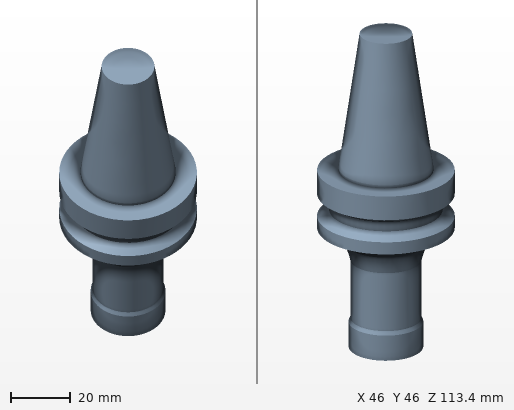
import cadquery as cq
import math


GAUGE_RADIUS = 31.75 / 2
TAPER_LENGTH = 48.4
TAPER_RATIO = 7 / 24
taper_end_radius = GAUGE_RADIUS - TAPER_LENGTH * TAPER_RATIO / 2

FLANGE_RADIUS = 46 / 2
FLANGE_TOP = -1.0
FLANGE_BOTTOM = -22.0
GROOVE_RADIUS = 38 / 2
GROOVE_CENTRE = -13.6
GROOVE_FLOOR_WIDTH = 3.4
GROOVE_WALL_ANGLE = math.radians(30)

OVERALL_LENGTH = 113.4
SHANK_RADIUS = 23.8 / 2
COLLAR_RADIUS = 25 / 2
COLLAR_LENGTH = 9.1
COLLAR_CHAMFER_LENGTH = 1.4
collar_bottom = TAPER_LENGTH - OVERALL_LENGTH
collar_top = collar_bottom + COLLAR_LENGTH

NECK_ARC_RADIUS = 30.0
NECK_ARC_BOTTOM = -33.5
NECK_CONE_BOTTOM = -26.9
NECK_CONE_BOTTOM_RADIUS = 14.15
NECK_CONE_ANGLE = math.radians(41.5)
NECK_ROOT_FILLET = 2.5


def make_taper():
    """Taper cone standing on the gauge plane."""
    return (
        cq.Workplane("XZ")
        .polyline([(0, 0), (GAUGE_RADIUS, 0), (taper_end_radius, TAPER_LENGTH), (0, TAPER_LENGTH)])
        .close()
        .revolve(360, (0, 0, 0), (0, 1, 0))
    )


def make_flange():
    """Grooved flange with the short cylinder that joins it to the taper."""
    wall_height = (FLANGE_RADIUS - GROOVE_RADIUS) * math.tan(GROOVE_WALL_ANGLE)
    floor_half = GROOVE_FLOOR_WIDTH / 2
    mouth_half = floor_half + wall_height
    outline = [
        (0, FLANGE_BOTTOM),
        (FLANGE_RADIUS, FLANGE_BOTTOM),
        (FLANGE_RADIUS, GROOVE_CENTRE - mouth_half),
        (GROOVE_RADIUS, GROOVE_CENTRE - floor_half),
        (GROOVE_RADIUS, GROOVE_CENTRE + floor_half),
        (FLANGE_RADIUS, GROOVE_CENTRE + mouth_half),
        (FLANGE_RADIUS, FLANGE_TOP),
        (GAUGE_RADIUS, FLANGE_TOP),
        (GAUGE_RADIUS, 0),
        (0, 0),
    ]
    return cq.Workplane("XZ").polyline(outline).close().revolve(360, (0, 0, 0), (0, 1, 0))


def make_shank():
    """End collar, shank and flared neck up to the underside of the flange."""
    root_centre_z = FLANGE_BOTTOM - NECK_ROOT_FILLET
    cone_end_z = root_centre_z + NECK_ROOT_FILLET * math.sin(NECK_CONE_ANGLE)
    cone_height = cone_end_z - NECK_CONE_BOTTOM
    cone_end_radius = NECK_CONE_BOTTOM_RADIUS + cone_height * math.tan(NECK_CONE_ANGLE)
    root_centre_radius = cone_end_radius + NECK_ROOT_FILLET * math.cos(NECK_CONE_ANGLE)

    def root_point(angle):
        radius = root_centre_radius - NECK_ROOT_FILLET * math.cos(angle)
        return (radius, root_centre_z + NECK_ROOT_FILLET * math.sin(angle))

    root_end_angle = math.pi / 2
    root_middle_angle = (NECK_CONE_ANGLE + root_end_angle) / 2
    return (
        cq.Workplane("XZ")
        .moveTo(0, collar_bottom)
        .lineTo(COLLAR_RADIUS, collar_bottom)
        .lineTo(COLLAR_RADIUS, collar_top)
        .lineTo(SHANK_RADIUS, collar_top + COLLAR_CHAMFER_LENGTH)
        .lineTo(SHANK_RADIUS, NECK_ARC_BOTTOM)
        .radiusArc((NECK_CONE_BOTTOM_RADIUS, NECK_CONE_BOTTOM), NECK_ARC_RADIUS)
        .lineTo(cone_end_radius, cone_end_z)
        .threePointArc(root_point(root_middle_angle), root_point(root_end_angle))
        .lineTo(0, FLANGE_BOTTOM)
        .close()
        .revolve(360, (0, 0, 0), (0, 1, 0))
    )


result = make_taper().union(make_flange()).union(make_shank())